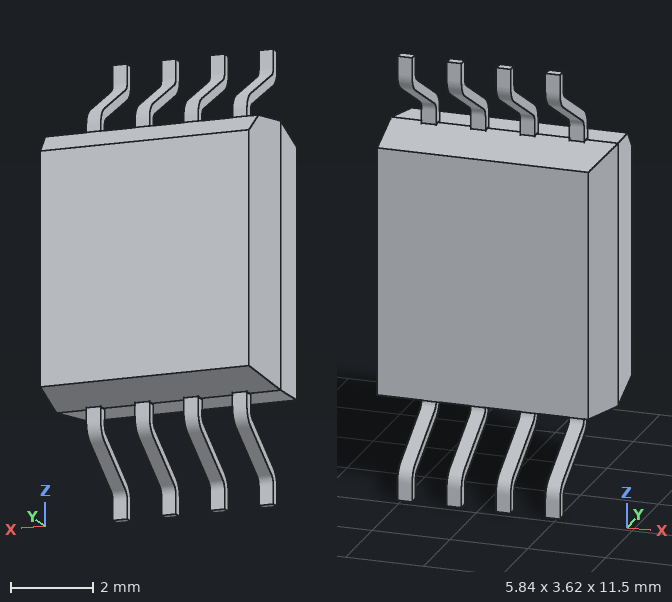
import cadquery as cq
import math

body_width = 5.84
body_length = 6.81
half_depth = 1.66
draft_angle = 7.0
top_chamfer = 0.51

lead_count = 4
lead_pitch = 1.27
lead_width = 0.38
lead_thickness = 0.26
lead_span = 11.51
foot_length = 0.48
stub_length = 0.36
embed_depth = 0.35
foot_standoff = 0.3
inner_bend_radius = 0.25
bend_angle = 60.0

half_length = body_length / 2
half_span = lead_span / 2
half_thickness = lead_thickness / 2
lead_x_positions = [(i - (lead_count - 1) / 2) * lead_pitch for i in range(lead_count)]


def make_half(side):
    """Drafted half of the housing on the +Y (side = 1) or -Y (side = -1) side."""
    parting_plane = cq.Plane(origin=(0, 0, 0), xDir=(1, 0, 0), normal=(0, side, 0))
    return cq.Workplane(parting_plane).rect(body_width, body_length).extrude(half_depth, taper=draft_angle)


def cut_top_chamfer(half):
    """Bevel the +Z edge of the +Y face at 45 degrees."""
    face_z = half_length - half_depth * math.tan(math.radians(draft_angle))
    bevel_y = half_depth - top_chamfer
    bevel_z = half_length - bevel_y * math.tan(math.radians(draft_angle))
    wedge = (
        cq.Workplane("YZ")
        .moveTo(bevel_y, bevel_z)
        .lineTo(half_depth, bevel_z - top_chamfer)
        .lineTo(half_depth, half_length)
        .lineTo(bevel_y, half_length)
        .close()
        .extrude(body_width / 2, both=True)
    )
    return half.cut(wedge)


def make_lead(x, end):
    """Lead at the given X on the +Z (end = 1) or -Z (end = -1) end of the housing."""
    foot_y = half_thickness - half_depth - foot_standoff
    half_turn = math.tan(math.radians(bend_angle / 2))
    corner_reach = (inner_bend_radius + half_thickness) * half_turn
    corner_shift = half_thickness * half_turn
    stub_corner_z = half_length + stub_length + corner_reach
    foot_corner_z = half_span - foot_length - corner_reach
    root_z = half_length - embed_depth

    upper_side = [
        (half_thickness, root_z),
        (half_thickness, stub_corner_z + corner_shift),
        (foot_y + half_thickness, foot_corner_z + corner_shift),
        (foot_y + half_thickness, half_span),
    ]
    lower_side = [
        (foot_y - half_thickness, half_span),
        (foot_y - half_thickness, foot_corner_z - corner_shift),
        (-half_thickness, stub_corner_z - corner_shift),
        (-half_thickness, root_z),
    ]
    outline = [(y, end * z) for y, z in upper_side + lower_side]
    strip = cq.Workplane("YZ", origin=(x, 0, 0)).polyline(outline).close().extrude(lead_width / 2, both=True)

    outer_bend_radius = inner_bend_radius + lead_thickness
    outer_corners = (upper_side[1], lower_side[1])
    inner_corners = (upper_side[2], lower_side[2])
    for corners, radius in ((outer_corners, outer_bend_radius), (inner_corners, inner_bend_radius)):
        for y, z in corners:
            bend_edge = cq.selectors.NearestToPointSelector((x, y, end * z))
            strip = strip.edges("|X").edges(bend_edge).fillet(radius)
    return strip


leads = [make_lead(x, end) for end in (1, -1) for x in lead_x_positions]

upper_half = cut_top_chamfer(make_half(1))
lower_half = make_half(-1)
for lead in leads:
    upper_half = upper_half.cut(lead)
    lower_half = lower_half.cut(lead)

result = cq.Compound.makeCompound([upper_half.val(), lower_half.val(), *[lead.val() for lead in leads]])